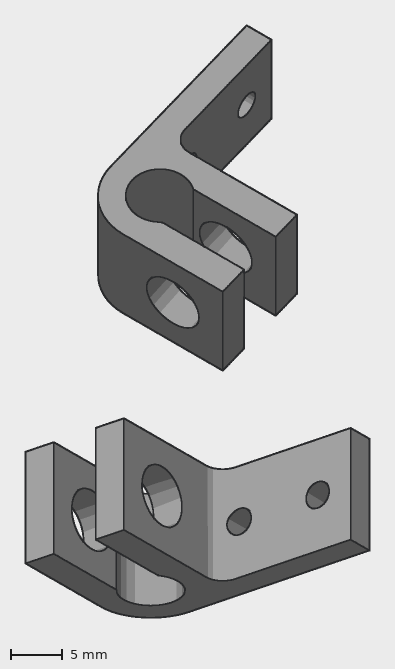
import cadquery as cq

width = 18.0
length = 28.0
height = 12.0

corner_radius = 6.0
block_depth = 2 * corner_radius
bore_radius = 3.3
slot_width = 5.1

arm_thickness = 3.0
inner_fillet = 2.0

cross_hole_diameter = 6.3
cross_hole_x = (corner_radius + width) / 2

mount_hole_diameter = 2.8
mount_hole_end_distances = (4.0, 13.5)


def make_body():
    """L-shaped plate with a rounded outer corner and a filleted inner one."""
    block = cq.Workplane("XY").box(width, block_depth, height, centered=False)
    arm = cq.Workplane("XY").box(arm_thickness, length, height, centered=False)
    body = block.union(arm)
    body = body.edges(cq.NearestToPointSelector((0, 0, height / 2))).fillet(corner_radius)
    inner_corner = (arm_thickness, block_depth, height / 2)
    return body.edges(cq.NearestToPointSelector(inner_corner)).fillet(inner_fillet)


def make_clamp_opening():
    """Vertical bore with a slot running out through the +X end."""
    center_x = corner_radius
    center_y = block_depth / 2
    bore = cq.Workplane("XY").center(center_x, center_y).circle(bore_radius).extrude(height)
    slot_length = width - center_x
    slot = (
        cq.Workplane("XY")
        .center(center_x + slot_length / 2, center_y)
        .rect(slot_length, slot_width)
        .extrude(height)
    )
    return bore.union(slot)


def make_cross_hole():
    """Hole along Y through both jaws."""
    return (
        cq.Workplane("XZ")
        .center(cross_hole_x, height / 2)
        .circle(cross_hole_diameter / 2)
        .extrude(-block_depth)
    )


def make_mount_hole(end_distance):
    """Hole along X through the arm and the inner fillet beside it."""
    return (
        cq.Workplane("YZ")
        .center(length - end_distance, height / 2)
        .circle(mount_hole_diameter / 2)
        .extrude(arm_thickness + inner_fillet)
    )


result = make_body().cut(make_clamp_opening()).cut(make_cross_hole())
for end_distance in mount_hole_end_distances:
    result = result.cut(make_mount_hole(end_distance))